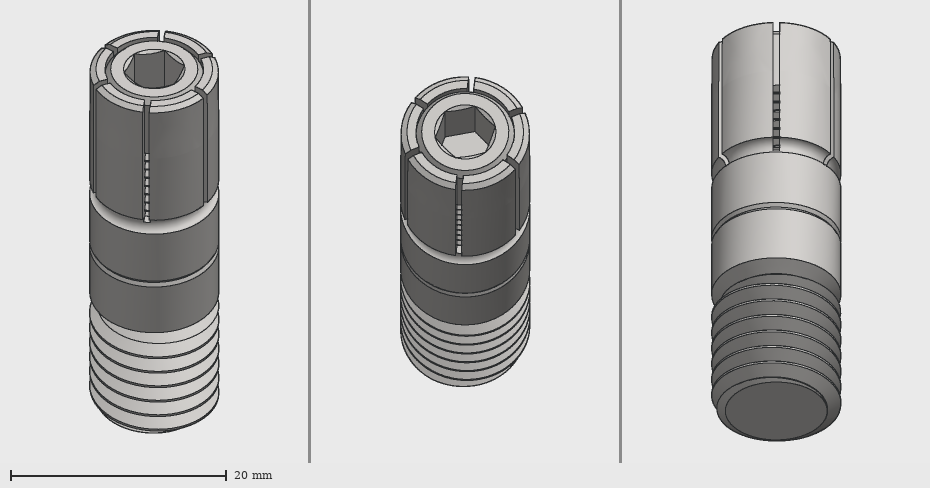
import cadquery as cq
import math

LENGTH = 40.0
OUTER_RADIUS = 6.0
FLANK_TAN = math.tan(math.radians(30))
CREST_FRACTION = 1 / 8
CUT_MARGIN = 0.05

STUD_PITCH = 1.75
STUD_ROOT_RADIUS = 4.75
STUD_ROOT_HEIGHT = 0.35
STUD_END_RADIUS = 4.7
STUD_TOP = 12.1
NECK_RADIUS = 4.6

COLLAR_BOTTOM = 13.1
MARK_GROOVE_CENTER = 19.0
MARK_GROOVE_HALF_WIDTH = 0.35
MARK_GROOVE_DEPTH = 0.25
RELIEF_CENTER = 25.9
RELIEF_HALF_WIDTH = 0.85
RELIEF_DEPTH = 0.75
RELIEF_ARC_RADIUS = (RELIEF_HALF_WIDTH**2 + RELIEF_DEPTH**2) / (2 * RELIEF_DEPTH)

TAPER_START = 34.15
RIM_HEIGHT = 39.7
RIM_RADIUS = 5.95
TOP_RADIUS = 5.4
SLOT_COUNT = 6
SLOT_WIDTH = 0.6
FIRST_SLOT_ANGLE = 30.0
SLOT_BOTTOM = 25.8

SCREW_RADIUS = 4.55
SCREW_BOTTOM = 24.0
SCREW_CHAMFER_WIDTH = 0.5
SCREW_CHAMFER_HEIGHT = 0.65
SCREW_PITCH = 1.0
SCREW_ROOT_RADIUS = 3.95
SCREW_THREAD_TURNS = 9
SCREW_GROOVE_START = 24.95
SCREW_THREAD_ANGLE = -90.0
HEX_CIRCLE_RADIUS = 2.85
HEX_TURN = 17.5
HEX_DEPTH = 5.0


def cone_height(end_radius):
    """Height of a lead-in cone from the outer radius down to its end radius."""
    return (OUTER_RADIUS - end_radius) * FLANK_TAN


def revolve_about_z(profile):
    return profile.close().revolve(360, (0, 0), (0, 1))


def threaded_rod(radius, bottom, top, groove_start, turns, pitch, root_radius, left_handed):
    """Rod with a helical V groove that starts on the +X side at groove_start and stays inside its length."""
    half_mouth = (pitch - pitch * CREST_FRACTION) / 2
    half_root = half_mouth - (radius - root_radius) * FLANK_TAN
    half_outer = half_mouth + CUT_MARGIN * FLANK_TAN
    section = (
        cq.Workplane("XZ")
        .polyline([
            (root_radius, -half_root),
            (root_radius, half_root),
            (radius + CUT_MARGIN, half_outer),
            (radius + CUT_MARGIN, -half_outer),
        ])
        .close()
    )
    helix = cq.Wire.makeHelix(pitch, pitch * turns, root_radius, lefthand=left_handed)
    groove = section.sweep(cq.Workplane(obj=helix), isFrenet=True).translate((0, 0, groove_start))
    rod = cq.Workplane("XY", origin=(0, 0, bottom)).circle(radius).extrude(top - bottom)
    return rod.cut(groove)


def make_stud():
    """Thread longer than needed, trimmed to length and to the lead-in cones at both ends."""
    envelope = revolve_about_z(
        cq.Workplane("XZ").polyline([
            (0, 0),
            (STUD_END_RADIUS, 0),
            (OUTER_RADIUS, cone_height(STUD_END_RADIUS)),
            (OUTER_RADIUS, STUD_TOP - cone_height(NECK_RADIUS)),
            (NECK_RADIUS, STUD_TOP),
            (0, STUD_TOP),
        ])
    )
    overrun = 2 * STUD_PITCH
    rod = threaded_rod(
        radius=OUTER_RADIUS,
        bottom=-overrun,
        top=STUD_TOP + overrun,
        groove_start=STUD_ROOT_HEIGHT - overrun,
        turns=math.ceil(STUD_TOP / STUD_PITCH) + 3,
        pitch=STUD_PITCH,
        root_radius=STUD_ROOT_RADIUS,
        left_handed=True,
    )
    return rod.intersect(envelope)


def make_upper():
    return revolve_about_z(
        cq.Workplane("XZ")
        .moveTo(0, STUD_TOP)
        .lineTo(NECK_RADIUS, STUD_TOP)
        .lineTo(NECK_RADIUS, COLLAR_BOTTOM - cone_height(NECK_RADIUS))
        .lineTo(OUTER_RADIUS, COLLAR_BOTTOM)
        .lineTo(OUTER_RADIUS, MARK_GROOVE_CENTER - MARK_GROOVE_HALF_WIDTH)
        .lineTo(OUTER_RADIUS - MARK_GROOVE_DEPTH, MARK_GROOVE_CENTER)
        .lineTo(OUTER_RADIUS, MARK_GROOVE_CENTER + MARK_GROOVE_HALF_WIDTH)
        .lineTo(OUTER_RADIUS, RELIEF_CENTER - RELIEF_HALF_WIDTH)
        .radiusArc((OUTER_RADIUS - RELIEF_DEPTH, RELIEF_CENTER), RELIEF_ARC_RADIUS)
        .radiusArc((OUTER_RADIUS, RELIEF_CENTER + RELIEF_HALF_WIDTH), RELIEF_ARC_RADIUS)
        .lineTo(OUTER_RADIUS, TAPER_START)
        .lineTo(RIM_RADIUS, RIM_HEIGHT)
        .lineTo(TOP_RADIUS, LENGTH)
        .lineTo(0, LENGTH)
    )


def make_screw_blank():
    """Screw without its chamfer and socket, which is also the shape of the hole it fills."""
    return threaded_rod(
        radius=SCREW_RADIUS,
        bottom=SCREW_BOTTOM,
        top=LENGTH,
        groove_start=SCREW_GROOVE_START,
        turns=SCREW_THREAD_TURNS,
        pitch=SCREW_PITCH,
        root_radius=SCREW_ROOT_RADIUS,
        left_handed=False,
    ).rotate((0, 0, 0), (0, 0, 1), SCREW_THREAD_ANGLE)


def make_screw():
    screw = make_screw_blank().faces(">Z").edges().chamfer(SCREW_CHAMFER_HEIGHT, SCREW_CHAMFER_WIDTH)
    hexagon = (
        cq.Workplane("XY", origin=(0, 0, LENGTH - HEX_DEPTH))
        .polygon(6, 2 * HEX_CIRCLE_RADIUS)
        .extrude(HEX_DEPTH)
        .rotate((0, 0, 0), (0, 0, 1), HEX_TURN)
    )
    lead_in = revolve_about_z(
        cq.Workplane("XZ").polyline([
            (0, LENGTH),
            (HEX_CIRCLE_RADIUS, LENGTH),
            (0, LENGTH - HEX_CIRCLE_RADIUS * FLANK_TAN),
        ])
    )
    return screw.cut(hexagon).cut(lead_in)


def make_slots():
    """Each bar spans the full diameter, so it cuts two opposite slots."""
    slots = cq.Workplane("XY")
    for i in range(SLOT_COUNT // 2):
        bar = (
            cq.Workplane("XY", origin=(0, 0, SLOT_BOTTOM))
            .rect(2 * (OUTER_RADIUS + CUT_MARGIN), SLOT_WIDTH)
            .extrude(LENGTH - SLOT_BOTTOM)
            .rotate((0, 0, 0), (0, 0, 1), FIRST_SLOT_ANGLE + i * 360 / SLOT_COUNT)
        )
        slots = slots.add(bar)
    return slots.combine()


def make_housing():
    return make_upper().union(make_stud()).cut(make_screw_blank()).cut(make_slots())


housing = make_housing()
screw = make_screw()
result = cq.Compound.makeCompound([housing.val(), screw.val()])